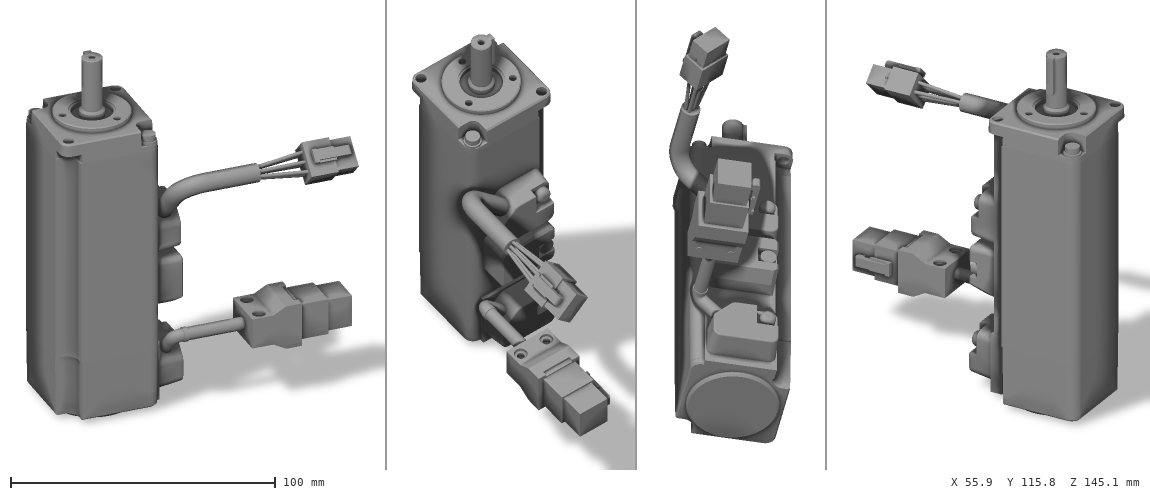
import cadquery as cq
import math


frame_width = 40.0
flange_top_width = 39.2
frame_corner_radius = 4.0
flange_thickness = 9.0
stator_bottom_z = -94.0
encoder_bottom_z = -118.6
encoder_bottom_width = 39.4
encoder_base_height = 2.5
cap_diameter = 35.4
cap_height = 1.7
cap_bevel = 0.8
rim_chamfer = 0.6

bolt_circle = 46.0
bolt_offset = bolt_circle / 2 / math.sqrt(2)
bolt_hole_diameter = 4.3
ear_thickness = 5.0
corner_cut = 8.0
stator_corner_cut = 7.6
tool_groove_radius = 4.5
screw_pocket_depth = 6.8
screw_pocket_radius = 3.0
screw_head_diameter = 5.6
screw_head_top_z = -3.2
screw_washer_diameter = 6.8
screw_washer_top_z = -5.7

boss_diameter = 30.0
boss_height = 2.3
boss_chamfer = 0.4
recess_diameter = 16.4
recess_rim_diameter = 18.0
recess_depth = 2.4
recess_rim_depth = 0.5
tap_hole_diameter = 3.0
tap_hole_depth = 6.0
tap_hole_circle = 24.0
tap_hole_angles = (30, 150, 270)

shaft_diameter = 8.0
shaft_foot_z = -5.0
shaft_end_z = 24.8
shaft_chamfer = 0.3
collar_diameter = 10.0
collar_top_z = 3.2
collar_chamfer = 0.9
key_width = 3.0
key_length = 15.5
key_outer_x = -5.2
key_end_radius = 1.2
end_hole_diameter = 2.5
end_hole_countersink = 3.3
end_hole_depth = 8.0

cover_left = -12.3
cover_right = 14.8
cover_height = 20.2
cover_taper = 5.0
cover_corner_radius = 3.2
cover_rim_radius = 0.6
cover_bevel = 8.2
power_cover_top_z = -36.9
power_cover_outer_y = 30.9
encoder_cover_top_z = -94.9
encoder_cover_outer_y = 31.8
cover_notch_width = 9.5
cover_notch_height = 10.6
cover_notch_depth = 3.7
cover_screw_diameter = 6.2
cover_screw_height = 3.4
cover_screw_dome_radius = 1.8
cover_screw_x = -7.5
cover_screw_drop = 5.4

brake_cover_left = -11.3
brake_cover_right = 13.9
brake_cover_top_z = -60.1
brake_cover_bottom_z = -79.1
brake_cover_outer_y = 31.8
brake_cover_edge_radius = 2.2
brake_bevel_depth = 6.2
brake_bevel_height = 1.9
brake_corner_chamfer = 0.8
brake_slot_top_z = -66.4
brake_slot_height = 6.8
brake_slot_width = 8.0
brake_side_bevel = 1.8
brake_screw_edge_radius = 0.3

cover_seat_left = -12.6
cover_seat_right = 15.0
cover_seat_y = 21.4

lead_tilt = 45.0
cable_insertion = 1.5

power_axis_x = 27.6
power_axis_z = -22.45
power_cable_diameter = 7.4
power_cable_bend_radius = 9.8
power_cable_y = 25.1
power_cable_end_y = 56.1
power_body_start_y = 75.0
power_nose_start_y = 86.0
power_nose_end_y = 94.7
power_body_size = (9.5, 14.1)
power_nose_size = (7.9, 12.2)
power_slot_width = 0.8
power_slot_length = 1.9
power_slot_depth = 0.4
wire_pitch = 4.0
wire_diameter = 1.4
wire_bundle_ratio = 0.45
wire_overlap = 0.5

encoder_axis_x = 18.75
encoder_axis_z = -90.6
encoder_cable_diameter = 5.1
encoder_cable_bend_radius = 3.2
encoder_cable_y = 25.9
encoder_sleeve_diameter = 5.7
encoder_sleeve_length = 1.8
boot_start_y = 53.8
boot_neck_end_y = 62.4
boot_wide_start_y = 67.6
encoder_body_start_y = 74.1
encoder_nose_start_y = 85.7
encoder_nose_end_y = 95.8
boot_width = 19.3
boot_neck_height = 12.4
boot_height = 18.1
boot_recess_width = 12.3
boot_recess_length = 1.9
boot_recess_depth = 1.0
boot_screw_spacing = 12.1
boot_screw_y = 58.0
boot_bore_diameter = 5.2
boot_bore_depth = 1.2
boot_socket_diameter = 3.0
boot_socket_depth = 2.0
boot_stud_protrusion = 0.3
encoder_body_size = (14.9, 14.8)
encoder_nose_size = (12.9, 13.0)

latch_gap = 1.3
latch_thickness = 1.9
latch_width = 3.7
latch_cross_width = 5.5
latch_cross_length = 1.8
latch_web_length = 9.0
latch_length = 15.2
latch_hook_length = 3.0
latch_hook_reach = 1.1
latch_post_start = 5.6
latch_post_length = 1.7
power_latch_start_y = 77.0
encoder_latch_start_y = 77.5


def box(x_range, y_range, z_range):
    """Box between the given limits along X, Y and Z."""
    size = [high - low for low, high in (x_range, y_range, z_range)]
    corner = (x_range[0], y_range[0], z_range[0])
    return cq.Workplane("XY").box(*size, centered=False).translate(corner)


def square_prism(width, bottom_z, top_z):
    """Rounded square column about the shaft axis."""
    column = cq.Workplane("XY").workplane(offset=bottom_z).rect(width, width).extrude(top_z - bottom_z)
    return column.edges("|Z").fillet(frame_corner_radius)


def tapered_prism(start_width, end_width, start_z, end_z):
    """Rounded square column that narrows from start_z to end_z."""
    rise = end_z - start_z
    taper = math.degrees(math.atan((start_width - end_width) / 2 / abs(rise)))
    outline = cq.Sketch().rect(start_width, start_width).vertices().fillet(frame_corner_radius)
    plane = cq.Workplane("XY", origin=(0, 0, start_z)).workplane(invert=rise < 0)
    return plane.placeSketch(outline).extrude(abs(rise), taper=taper)


def z_cylinder(x, y, diameter, bottom_z, top_z):
    """Upright cylinder."""
    plane = cq.Workplane("XY", origin=(x, y, bottom_z))
    return plane.circle(diameter / 2).extrude(top_z - bottom_z)


def y_cylinder(x, z, diameter, start_y, end_y):
    """Cylinder along Y."""
    plane = cq.Workplane("XZ", origin=(x, start_y, z))
    return plane.circle(diameter / 2).extrude(start_y - end_y)


def make_frame():
    """Flange, stator, encoder housing and end cap stacked along the shaft axis."""
    flange = tapered_prism(frame_width, flange_top_width, -flange_thickness, 0)
    flange = flange.faces(">Z").chamfer(rim_chamfer)
    stator = square_prism(frame_width, stator_bottom_z, -flange_thickness)
    base_top_z = encoder_bottom_z + encoder_base_height
    encoder = tapered_prism(frame_width, encoder_bottom_width, stator_bottom_z, base_top_z)
    base = square_prism(encoder_bottom_width, encoder_bottom_z, base_top_z).faces("<Z").chamfer(rim_chamfer)
    cap = z_cylinder(0, 0, cap_diameter, encoder_bottom_z - cap_height, encoder_bottom_z)
    cap = cap.faces("<Z").chamfer(cap_bevel)
    return flange.union(stator).union(encoder).union(base).union(cap)


def corner_block(side_x, side_y, bottom_z, top_z, inner_radius, cut=corner_cut):
    """Block that removes one frame corner, with its inner edge rounded."""
    inner = frame_width / 2 - cut
    block = box((inner, frame_width), (inner, frame_width), (bottom_z, top_z))
    block = block.edges("|Z and <X and <Y").fillet(inner_radius)
    if side_x < 0:
        block = block.mirror("YZ")
    if side_y < 0:
        block = block.mirror("XZ")
    return block


def cut_mounting_corners(frame):
    """Two corners carry bolt holes over tool grooves, the other two carry recessed screws."""
    groove_stretches = (
        (-flange_thickness, -ear_thickness, corner_cut),
        (stator_bottom_z, -flange_thickness, stator_corner_cut),
        (encoder_bottom_z, stator_bottom_z, corner_cut),
    )
    for side in (1, -1):
        for bottom_z, top_z, cut in groove_stretches:
            groove = corner_block(-side, side, bottom_z, top_z, tool_groove_radius, cut)
            frame = frame.cut(groove)
        hole = z_cylinder(-side * bolt_offset, side * bolt_offset, bolt_hole_diameter, -flange_thickness, 0)
        pocket = corner_block(side, side, -screw_pocket_depth, boss_height, screw_pocket_radius)
        frame = frame.cut(hole).cut(pocket)
        place = side * bolt_offset
        head = z_cylinder(place, place, screw_head_diameter, -screw_pocket_depth, screw_head_top_z)
        washer = z_cylinder(place, place, screw_washer_diameter, -screw_pocket_depth, screw_washer_top_z)
        frame = frame.union(head).union(washer)
    return frame


def add_boss(frame):
    """Pilot boss with a recess around the shaft and three tapped holes."""
    boss = z_cylinder(0, 0, boss_diameter, 0, boss_height).faces(">Z").chamfer(boss_chamfer)
    frame = frame.union(boss)
    recess = z_cylinder(0, 0, recess_diameter, boss_height - recess_depth, boss_height)
    rim = z_cylinder(0, 0, recess_rim_diameter, boss_height - recess_rim_depth, boss_height)
    frame = frame.cut(recess).cut(rim)
    for angle in tap_hole_angles:
        x = tap_hole_circle / 2 * math.cos(math.radians(angle))
        y = tap_hole_circle / 2 * math.sin(math.radians(angle))
        frame = frame.cut(z_cylinder(x, y, tap_hole_diameter, boss_height - tap_hole_depth, boss_height))
    return frame


def make_shaft():
    """Shaft with its collar, key and centre hole."""
    shaft = z_cylinder(0, 0, shaft_diameter, shaft_foot_z, shaft_end_z).faces(">Z").chamfer(shaft_chamfer)
    collar = z_cylinder(0, 0, collar_diameter, shaft_foot_z, collar_top_z).faces(">Z").chamfer(collar_chamfer)
    key = box((key_outer_x, 0), (-key_width / 2, key_width / 2), (shaft_end_z - key_length, shaft_end_z))
    key = key.edges("|X and <Z").fillet(key_end_radius)
    shaft = shaft.union(collar).union(key)
    return shaft.faces(">Z").workplane(origin=(0, 0, shaft_end_z)).cskHole(
        end_hole_diameter, end_hole_countersink, 90, end_hole_depth
    )


def add_cover_screw(cover, z, outer_y, edge_radius):
    """Round-edged screw head standing on the floor of a cover notch."""
    floor_y = outer_y - cover_notch_depth
    head = y_cylinder(cover_screw_x, z, cover_screw_diameter, floor_y, floor_y + cover_screw_height)
    return cover.union(head.faces(">Y").edges().fillet(edge_radius))


def make_lead_cover(top_z, outer_y):
    """Tapered cover with a bevelled corner for its cable and a notched corner for its screw."""
    base_y = frame_width / 2
    bottom_z = top_z - cover_height
    outline = [
        (cover_left, bottom_z),
        (cover_left, top_z),
        (cover_right - cover_bevel, top_z),
        (cover_right, top_z - cover_bevel),
        (cover_right, bottom_z),
    ]
    plane = cq.Workplane("XZ", origin=(0, base_y, 0))
    cover = plane.polyline(outline).close().extrude(base_y - outer_y, taper=cover_taper)
    cover = cover.edges("not(<Y or >Y)").fillet(cover_corner_radius)
    cover = cover.faces(">Y").edges().fillet(cover_rim_radius)
    notch = box(
        (cover_left, cover_left + cover_notch_width),
        (outer_y - cover_notch_depth, outer_y),
        (top_z - cover_notch_height, top_z),
    )
    return add_cover_screw(cover.cut(notch), top_z - cover_screw_drop, outer_y, cover_screw_dome_radius)


def make_brake_cover():
    """Cover with a sloped lower face and a screw slot in its left side."""
    base_y = frame_width / 2
    top_z, bottom_z = brake_cover_top_z, brake_cover_bottom_z
    outer_y = brake_cover_outer_y
    profile = [
        (base_y, top_z),
        (outer_y, top_z),
        (outer_y, bottom_z + brake_bevel_height),
        (outer_y - brake_bevel_depth, bottom_z),
        (base_y, bottom_z),
    ]
    length = brake_cover_right - brake_cover_left
    cover = cq.Workplane("YZ", origin=(brake_cover_left, 0, 0)).polyline(profile).close().extrude(length)
    slope_edge_middle = (
        brake_cover_left,
        outer_y - brake_bevel_depth / 2,
        bottom_z + brake_bevel_height / 2,
    )
    cover = cover.edges(cq.selectors.NearestToPointSelector(slope_edge_middle)).chamfer(brake_side_bevel)
    cover = cover.edges("|Y").fillet(brake_cover_edge_radius)
    cover = cover.edges("|X and >Y and >Z").chamfer(brake_corner_chamfer)
    slot_bottom_z = brake_slot_top_z - brake_slot_height
    slot = box(
        (brake_cover_left, brake_cover_left + brake_slot_width),
        (outer_y - cover_notch_depth, outer_y),
        (slot_bottom_z, brake_slot_top_z),
    )
    screw_z = (slot_bottom_z + brake_slot_top_z) / 2
    return add_cover_screw(cover.cut(slot), screw_z, outer_y, brake_screw_edge_radius)


def make_motor():
    """Frame, boss, shaft and the three terminal covers as one body."""
    motor = add_boss(cut_mounting_corners(make_frame()))
    motor = motor.union(make_shaft())
    seat_start_y = frame_width / 2 - corner_cut + tool_groove_radius
    seat = box(
        (cover_seat_left, cover_seat_right),
        (seat_start_y, cover_seat_y),
        (encoder_bottom_z, stator_bottom_z),
    )
    motor = motor.union(seat)
    motor = motor.union(make_lead_cover(power_cover_top_z, power_cover_outer_y))
    motor = motor.union(make_brake_cover())
    return motor.union(make_lead_cover(encoder_cover_top_z, encoder_cover_outer_y))




def make_cable(diameter, entry_length, bend_radius, entry_y, end_y):
    """Cable that comes in along +X, bends and leaves along +Y on the connector axis."""
    along_entry = cq.Workplane("YZ", origin=(-entry_length, entry_y, 0))
    entry = along_entry.circle(diameter / 2).extrude(entry_length - bend_radius)
    bend_start = cq.Workplane("YZ", origin=(-bend_radius, entry_y, 0)).circle(diameter / 2)
    bend = bend_start.revolve(90, (bend_radius, -1, 0), (bend_radius, 1, 0))
    straight = y_cylinder(0, 0, diameter, entry_y + bend_radius, end_y)
    return entry.union(bend).union(straight)


def centred_block(size, start_y, end_y):
    """Block on the connector axis, sized across X and Z."""
    width, height = size
    return box((-width / 2, width / 2), (start_y, end_y), (-height / 2, height / 2))


def make_latch(face_x, start_y):
    """Lever beside the connector face at +X, on one post, with a web, a cross bar and a hook."""
    inner_x = face_x + latch_gap
    web_x = inner_x + latch_thickness / 2
    outer_x = inner_x + latch_thickness
    end_y = start_y + latch_length
    narrow = (-latch_width / 2, latch_width / 2)
    wide = (-latch_cross_width / 2, latch_cross_width / 2)
    lever = box((inner_x, outer_x), (start_y, end_y - latch_hook_length), narrow)
    cross_bar = box((inner_x, outer_x), (start_y, start_y + latch_cross_length), wide)
    web = box((inner_x, web_x), (start_y, start_y + latch_web_length), wide)
    post_y = start_y + latch_post_start
    post = box((face_x, inner_x), (post_y, post_y + latch_post_length), narrow)
    hook = box((inner_x - latch_hook_reach, outer_x), (end_y - latch_hook_length, end_y), narrow)
    hook = hook.edges("|Z and >Y").fillet(latch_hook_reach)
    return lever.union(hook).union(web).union(cross_bar).union(post)


def make_wire(x, z):
    """Wire that spreads from the cable end to its place at the connector."""
    start_y = power_cable_end_y - wire_overlap
    end_y = power_body_start_y + wire_overlap
    start = cq.Vector(x * wire_bundle_ratio, start_y, z * wire_bundle_ratio)
    run = cq.Vector(x, end_y, z) - start
    return cq.Workplane(cq.Solid.makeCylinder(wire_diameter / 2, run.Length, start, run))


def bevel_entry_length(cover_top_z, axis_x, axis_z):
    """Length from the connector axis to a short way inside the bevelled face of a cover."""
    bevel_sum = cover_right - cover_bevel + cover_top_z
    return (axis_x + axis_z - bevel_sum) / math.sqrt(2) + cable_insertion


def tilt(workplane):
    """Turn about the connector axis so that +X points to +X +Z."""
    return workplane.rotate((0, 0, 0), (0, 1, 0), -lead_tilt)


def cut_nose_slots(nose):
    """Small slots beside the connector body, one on each end face and two on each long face."""
    y_range = (power_nose_start_y, power_nose_start_y + power_slot_length)
    half = power_slot_width / 2
    face_x = power_nose_size[0] / 2
    face_z = power_nose_size[1] / 2
    for side in (1, -1):
        end_slot = box((-half, half), y_range, (face_z - power_slot_depth, face_z))
        nose = nose.cut(end_slot if side > 0 else end_slot.mirror("XY"))
        for z in (-wire_pitch / 2, wire_pitch / 2):
            long_slot = box((face_x - power_slot_depth, face_x), y_range, (z - half, z + half))
            nose = nose.cut(long_slot if side > 0 else long_slot.mirror("YZ"))
    return nose


def make_power_lead():
    """Cable, six wires and the tilted connector."""
    lead = make_cable(
        power_cable_diameter,
        bevel_entry_length(power_cover_top_z, power_axis_x, power_axis_z),
        power_cable_bend_radius,
        power_cable_y,
        power_cable_end_y,
    )
    for x in (-wire_pitch / 2, wire_pitch / 2):
        for z in (-wire_pitch, 0, wire_pitch):
            lead = lead.union(make_wire(x, z))
    lead = lead.union(centred_block(power_body_size, power_body_start_y, power_nose_start_y))
    nose = centred_block(power_nose_size, power_nose_start_y, power_nose_end_y)
    lead = lead.union(cut_nose_slots(nose))
    lead = lead.union(make_latch(power_body_size[0] / 2, power_latch_start_y))
    return tilt(lead).translate((power_axis_x, 0, power_axis_z))


def make_boot():
    """Cable boot with a narrow neck, clamp screws and a shallow recess at the connector."""
    neck = boot_neck_height / 2
    wide = boot_height / 2
    outline = [
        (boot_start_y, neck),
        (boot_neck_end_y, neck),
        (boot_wide_start_y, wide),
        (encoder_body_start_y, wide),
        (encoder_body_start_y, -wide),
        (boot_wide_start_y, -wide),
        (boot_neck_end_y, -neck),
        (boot_start_y, -neck),
    ]
    boot = cq.Workplane("YZ", origin=(-boot_width / 2, 0, 0)).polyline(outline).close().extrude(boot_width)
    boot = boot.cut(
        box(
            (-boot_recess_width / 2, boot_recess_width / 2),
            (encoder_body_start_y - boot_recess_length, encoder_body_start_y),
            (wide - boot_recess_depth, wide),
        )
    )
    for x in (-boot_screw_spacing / 2, boot_screw_spacing / 2):
        bore = z_cylinder(x, boot_screw_y, boot_bore_diameter, neck - boot_bore_depth, neck)
        socket_z = neck - boot_bore_depth - boot_socket_depth
        socket = z_cylinder(x, boot_screw_y, boot_socket_diameter, socket_z, neck)
        stud = z_cylinder(x, boot_screw_y, boot_socket_diameter, -neck - boot_stud_protrusion, -neck)
        boot = boot.cut(bore).cut(socket).union(stud)
    return boot


def make_encoder_lead():
    """Cable with its sleeve, boot and upright connector."""
    cable = make_cable(
        encoder_cable_diameter,
        bevel_entry_length(encoder_cover_top_z, encoder_axis_x, encoder_axis_z),
        encoder_cable_bend_radius,
        encoder_cable_y,
        boot_start_y,
    )
    sleeve_y = encoder_cable_y + encoder_cable_bend_radius
    sleeve = y_cylinder(0, 0, encoder_sleeve_diameter, sleeve_y, sleeve_y + encoder_sleeve_length)
    lead = tilt(cable).union(sleeve).union(make_boot())
    lead = lead.union(centred_block(encoder_body_size, encoder_body_start_y, encoder_nose_start_y))
    lead = lead.union(centred_block(encoder_nose_size, encoder_nose_start_y, encoder_nose_end_y))
    latch = make_latch(encoder_body_size[0] / 2, encoder_latch_start_y).mirror("YZ")
    return lead.union(latch).translate((encoder_axis_x, 0, encoder_axis_z))


power_lead = make_power_lead()
encoder_lead = make_encoder_lead()
motor = make_motor().cut(power_lead).cut(encoder_lead)

result = cq.Compound.makeCompound([motor.val(), power_lead.val(), encoder_lead.val()])